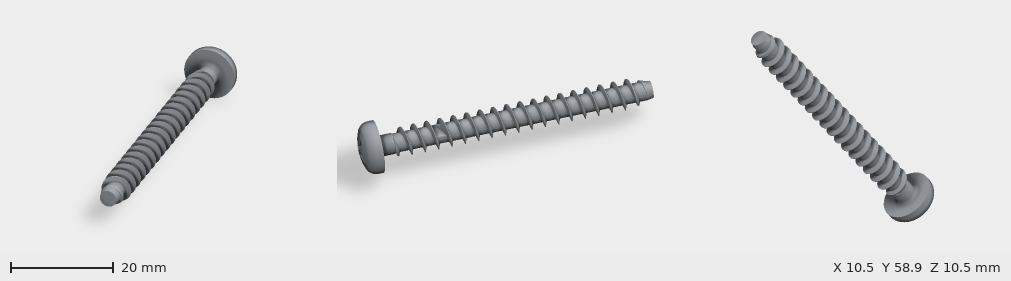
import cadquery as cq
import math


total_length = 58.9
head_radius = 5.25
crown_apex_y = 3.9
rim_height = 1.05
crown_edge_radius = 4.25
crown_edge_y = 2.95

recess_span = 5.65
recess_arm_width = 1.2
recess_depth = 2.1

crown_drop = crown_apex_y - crown_edge_y
crown_radius = (crown_edge_radius**2 + crown_drop**2) / (2 * crown_drop)
recess_corner_radius = recess_arm_width / math.sqrt(2)
head_top_y = crown_apex_y - crown_radius + math.sqrt(crown_radius**2 - recess_corner_radius**2)
tip_y = head_top_y - total_length

neck_diameter = 4.2
core_diameter = 3.8
neck_length = 3.0
neck_fillet = 0.8
neck_radius = neck_diameter / 2
core_radius = core_diameter / 2
tip_radius = 1.7
tip_taper_length = 1.2

thread_radius = 3.0
thread_root_width = 0.8
thread_crest_width = 0.1
thread_overlap = 0.35
upper_crest_y = -7.3
lower_crest_y = -52.95
pitches_between_crests = 17
thread_pitch = (upper_crest_y - lower_crest_y) / pitches_between_crests
extra_turns_at_tip = 1
extra_turns_at_head = 2
thread_turns = extra_turns_at_tip + pitches_between_crests + extra_turns_at_head
thread_top_y = -2.95
thread_top_radius = 2.5
top_runout_end_y = -5.3
envelope_clearance = 0.3
tip_runout_start_y = -50.65
tip_runout_end_y = -53.95

notch_floor_z = 1.05
notch_top_y = -11.4
notch_bottom_y = -13.2
notch_bottom_right_x = -0.8
notch_wall_angle = 40.0


def make_body():
    """Head, neck and core turned about the Y axis."""
    crown_mid_angle = math.asin(crown_edge_radius / crown_radius) / 2
    crown_mid = (
        crown_radius * math.sin(crown_mid_angle),
        crown_apex_y - crown_radius * (1 - math.cos(crown_mid_angle)),
    )
    return (
        cq.Workplane("XY")
        .moveTo(0, tip_y)
        .lineTo(tip_radius, tip_y)
        .lineTo(core_radius, tip_y + tip_taper_length)
        .lineTo(core_radius, -neck_length)
        .lineTo(neck_radius, -neck_length)
        .lineTo(neck_radius, -neck_fillet)
        .radiusArc((neck_radius + neck_fillet, 0), neck_fillet)
        .lineTo(head_radius, 0)
        .lineTo(head_radius, rim_height)
        .tangentArcPoint((crown_edge_radius, crown_edge_y), relative=False)
        .threePointArc(crown_mid, (0, crown_apex_y))
        .close()
        .revolve(360, (0, 0, 0), (0, 1, 0))
    )


def make_recess():
    """Cross-shaped cutter with arms along X and Z, open at the top of the head."""
    top = cq.Workplane("XZ", origin=(0, crown_apex_y, 0))
    arm_x = top.rect(recess_span, recess_arm_width).extrude(recess_depth)
    arm_z = top.rect(recess_arm_width, recess_span).extrude(recess_depth)
    return arm_x.union(arm_z)


def make_notch():
    """Cutter with a flat floor and leaning walls, its lower side slanted across the core."""
    half_width = math.sqrt(core_radius**2 - notch_floor_z**2)
    return (
        cq.Workplane("XY", origin=(0, 0, notch_floor_z))
        .polyline(
            [
                (-half_width, notch_top_y),
                (half_width, notch_top_y),
                (notch_bottom_right_x, notch_bottom_y),
                (-half_width, notch_bottom_y),
            ]
        )
        .close()
        .extrude(core_radius - notch_floor_z, taper=-notch_wall_angle)
    )


def make_thread_envelope():
    """Turned limit of the thread, which gives its run-outs and its upper end."""
    outer_radius = thread_radius + envelope_clearance
    top_slope = (thread_top_y - top_runout_end_y) / (thread_radius - thread_top_radius)
    tip_slope = (tip_runout_start_y - tip_runout_end_y) / (thread_radius - core_radius)
    top_shoulder_y = top_runout_end_y - top_slope * envelope_clearance
    tip_shoulder_y = tip_runout_start_y + tip_slope * envelope_clearance
    return (
        cq.Workplane("XY")
        .polyline(
            [
                (0, thread_top_y),
                (thread_top_radius, thread_top_y),
                (outer_radius, top_shoulder_y),
                (outer_radius, tip_shoulder_y),
                (core_radius, tip_runout_end_y),
                (0, tip_runout_end_y),
            ]
        )
        .close()
        .revolve(360, (0, 0, 0), (0, 1, 0))
    )


def make_ridge_turn():
    """One turn of the trapezoidal ridge, wound about Z and starting on the +X side."""
    root_radius = core_radius - thread_overlap
    flank_slope = (thread_root_width - thread_crest_width) / (thread_radius - core_radius)
    sunk_half_width = (thread_root_width + flank_slope * thread_overlap) / 2
    crest_half_width = thread_crest_width / 2
    profile = [
        (root_radius, -sunk_half_width),
        (thread_radius, -crest_half_width),
        (thread_radius, crest_half_width),
        (root_radius, sunk_half_width),
    ]
    helices = [
        cq.Wire.makeHelix(thread_pitch, thread_pitch, radius).translate(cq.Vector(0, 0, height))
        for radius, height in profile
    ]
    sides = [cq.Face.makeRuledSurface(helices[i - 1], helices[i]) for i in range(len(helices))]
    corners = [cq.Vector(radius, 0, height) for radius, height in profile]
    start_face = cq.Face.makeFromWires(cq.Wire.makePolygon(corners, close=True))
    end_face = start_face.translate(cq.Vector(0, 0, thread_pitch))
    shell = cq.Shell.makeShell(sides + [start_face, end_face])
    return cq.Workplane(cq.Solid.makeSolid(shell))


def make_thread():
    """Ridge turns stacked along the Y axis, each trimmed to the envelope."""
    envelope = make_thread_envelope()
    turn = make_ridge_turn().rotate((0, 0, 0), (1, 0, 0), -90)
    thread = cq.Workplane()
    for i in range(thread_turns):
        turn_y = lower_crest_y + (i - extra_turns_at_tip) * thread_pitch
        thread.add(turn.translate((0, turn_y, 0)).intersect(envelope).solids())
    return thread


result = make_body().cut(make_recess()).cut(make_notch()).union(make_thread())